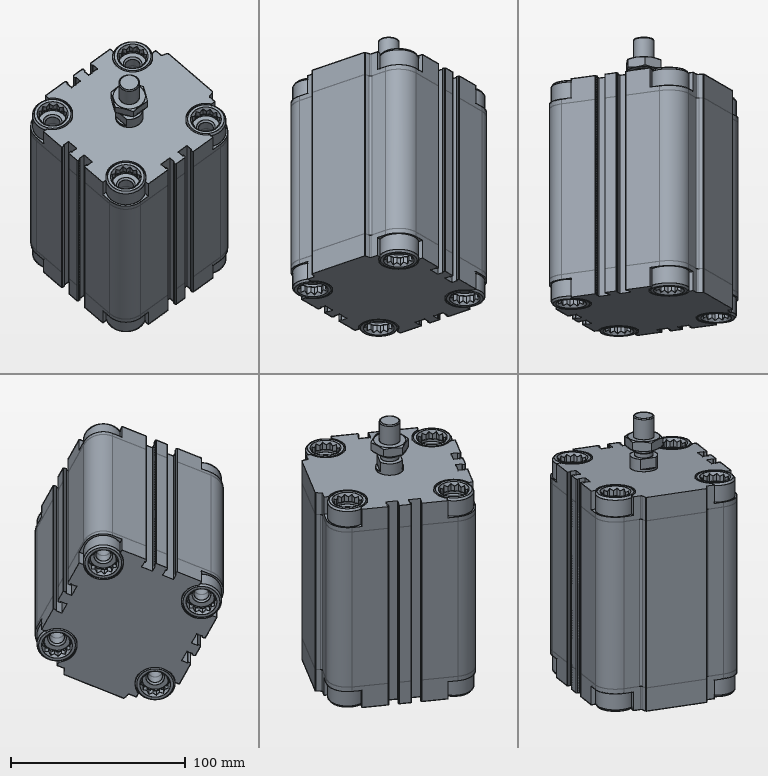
import cadquery as cq
import math

total_height = 161.5
housing_height = 130.0
cap_height = 14.2

width = 87.0
half_width = width / 2
bolt_offset = 31.0
corner_radius = half_width - bolt_offset

overall_depth = 91.0
pad_height = overall_depth - width
pad_half_base = 20.2
pad_half_top = 18.7
pad_corner = 0.5
cap_pad_root = 0.6
barrel_pad_root = 1.5

slot_offset = 6.6
slot_mouth = 5.5
slot_inner = 6.8
slot_depth = 5.7
lip_depth = 2.0
lip_bevel = 0.5

collar_diameter = 23.0
collar_chamfer_height = 1.3
collar_chamfer_width = 1.0
corner_cut = 18.4
corner_cut_depth = 11.3

bolt_hole = 8.5
countersink_diameter = 10.7
socket_corners = 16.5
socket_mouth = 17.6
socket_mouth_depth = 2.9
socket_mouth_floor = 13.9
socket_depth = 5.7
socket_floor = 7.5

rod_diameter = 16.0
rod_top = 137.5
flat_bottom = 131.3
across_flats = 13.0
undercut_diameter = 10.7
thread_diameter = 12.0
thread_start = 139.9
thread_chamfer = 0.6
rod_seat = housing_height - cap_height

nut_bottom = 142.8
nut_height = 6.0
nut_across_flats = 19.0
nut_corners = nut_across_flats / math.cos(math.radians(30))
nut_chamfer_height = 0.6
nut_face_diameter = 18.4


def profile(height, pad_root):
    """Length of the rounded square section with the raised pad on its +Y side."""
    body = cq.Workplane("XY").rect(width, width).extrude(height).edges("|Z").fillet(corner_radius)
    pad_top = half_width + pad_height
    pad = (
        cq.Workplane("XY")
        .polyline([
            (-pad_half_base, 0),
            (-pad_half_base, half_width),
            (-pad_half_top - pad_corner, pad_top - pad_corner),
            (-pad_half_top, pad_top),
            (pad_half_top, pad_top),
            (pad_half_top + pad_corner, pad_top - pad_corner),
            (pad_half_base, half_width),
            (pad_half_base, 0),
        ])
        .close()
        .extrude(height)
    )
    section = body.union(pad)
    for x in (-pad_half_base, pad_half_base):
        foot_edge = cq.selectors.NearestToPointSelector((x, half_width, height / 2))
        section = section.edges(foot_edge).fillet(pad_root)
    return section


def t_slot(height):
    """Cutter for one T-slot in the -Y side, centred on X = 0."""
    outer = -half_width
    half_mouth = slot_mouth / 2
    half_inner = slot_inner / 2
    right = [
        (half_mouth + lip_bevel, outer),
        (half_mouth, outer + lip_bevel),
        (half_mouth, outer + lip_depth),
        (half_inner, outer + lip_depth),
        (half_inner, outer + slot_depth),
    ]
    left = [(-x, y) for x, y in reversed(right)]
    return cq.Workplane("XY").polyline(right + left).close().extrude(height)


def cut_slots(housing):
    """Run a pair of T-slots along the -X, +X and -Y sides."""
    for side_angle in (0, 90, -90):
        for x in (-slot_offset, slot_offset):
            slot = t_slot(housing_height).translate((x, 0, 0))
            housing = housing.cut(slot.rotate((0, 0, 0), (0, 0, 1), side_angle), clean=False)
    return housing


def corner_relief(x_side, y_side):
    """Square cut from one top corner of a cap, leaving the bolt collar standing."""
    square_centre = half_width - corner_cut / 2
    floor = cap_height - corner_cut_depth
    square = (
        cq.Workplane("XY", origin=(x_side * square_centre, y_side * square_centre, floor))
        .rect(corner_cut, corner_cut)
        .extrude(corner_cut_depth)
    )
    bolt_axis = (x_side * bolt_offset, y_side * bolt_offset, floor)
    collar = cq.Workplane("XY", origin=bolt_axis).circle(collar_diameter / 2).extrude(corner_cut_depth)
    chamfered_collar = collar.faces(">Z").edges().chamfer(collar_chamfer_height, collar_chamfer_width)
    return square.union(collar).cut(chamfered_collar)


def hexagon_prism(corners, depth, angle):
    prism = cq.Workplane("XY").polygon(6, corners).extrude(-depth)
    return prism.rotate((0, 0, 0), (0, 0, 1), angle)


def bolt_passage():
    """Cutter for one bolt passage, with the socket opening at Z = 0."""
    socket = hexagon_prism(socket_corners, socket_depth, 0)
    socket = socket.union(hexagon_prism(socket_corners, socket_depth, 30))
    relief_height = socket_floor - socket_depth
    relief = cq.Workplane("XY").circle(socket_corners / 2).extrude(relief_height)
    relief = relief.translate((0, 0, -socket_floor))
    mouth = cq.Workplane(
        cq.Solid.makeCone(socket_mouth_floor / 2, socket_mouth / 2, socket_mouth_depth)
    ).translate((0, 0, -socket_mouth_depth))
    countersink_depth = (countersink_diameter - bolt_hole) / 2
    countersink = cq.Workplane(
        cq.Solid.makeCone(bolt_hole / 2, countersink_diameter / 2, countersink_depth)
    ).translate((0, 0, -socket_floor - countersink_depth))
    hole = cq.Workplane("XY").circle(bolt_hole / 2).extrude(-cap_height)
    return socket.union(relief).union(mouth).union(countersink).union(hole)


def end_cap():
    """Cap with its outer face at the top."""
    cap = profile(cap_height, cap_pad_root)
    for x_side in (-1, 1):
        for y_side in (-1, 1):
            cap = cap.cut(corner_relief(x_side, y_side))
            passage = bolt_passage().translate((x_side * bolt_offset, y_side * bolt_offset, cap_height))
            cap = cap.cut(passage)
    return cap


def make_housing():
    barrel_height = housing_height - 2 * cap_height
    barrel = profile(barrel_height, barrel_pad_root)
    bolt_places = [(x, y) for x in (-bolt_offset, bolt_offset) for y in (-bolt_offset, bolt_offset)]
    holes = cq.Workplane("XY").pushPoints(bolt_places).circle(bolt_hole / 2).extrude(barrel_height)
    barrel = barrel.cut(holes).translate((0, 0, cap_height))
    top_cap = end_cap()
    bottom_cap = top_cap.mirror("XY").translate((0, 0, cap_height))
    top_cap = top_cap.translate((0, 0, housing_height - cap_height))
    housing = barrel.union(bottom_cap, clean=False).union(top_cap, clean=False)
    housing = cut_slots(housing)
    bore = cq.Workplane("XY", origin=(0, 0, rod_seat)).circle(rod_diameter / 2).extrude(cap_height)
    return housing.cut(bore, clean=False)


def make_rod():
    rod_radius = rod_diameter / 2
    undercut_radius = undercut_diameter / 2
    thread_radius = thread_diameter / 2
    rod = (
        cq.Workplane("XZ")
        .polyline([
            (0, rod_seat),
            (rod_radius, rod_seat),
            (rod_radius, rod_top),
            (undercut_radius, rod_top),
            (undercut_radius, thread_start),
            (thread_radius, thread_start + thread_chamfer),
            (thread_radius, total_height - thread_chamfer),
            (thread_radius - thread_chamfer, total_height),
            (0, total_height),
        ])
        .close()
        .revolve(360, (0, 0), (0, 1))
    )
    flat_height = rod_top - flat_bottom
    band = cq.Workplane("XY", origin=(0, 0, flat_bottom)).rect(rod_diameter, rod_diameter)
    kept = cq.Workplane("XY", origin=(0, 0, flat_bottom)).rect(rod_diameter, across_flats)
    waste = band.extrude(flat_height).cut(kept.extrude(flat_height))
    return rod.cut(waste)


def make_nut():
    hexagon = cq.Workplane("XY").polygon(6, nut_corners).extrude(nut_height)
    hexagon = hexagon.rotate((0, 0, 0), (0, 0, 1), 30)
    tip_radius = nut_corners / 2
    face_radius = nut_face_diameter / 2
    envelope = (
        cq.Workplane("XZ")
        .polyline([
            (0, 0),
            (face_radius, 0),
            (tip_radius, nut_chamfer_height),
            (tip_radius, nut_height - nut_chamfer_height),
            (face_radius, nut_height),
            (0, nut_height),
        ])
        .close()
        .revolve(360, (0, 0), (0, 1))
    )
    thread_hole = cq.Workplane("XY").circle(thread_diameter / 2).extrude(nut_height)
    return hexagon.intersect(envelope).cut(thread_hole).translate((0, 0, nut_bottom))


housing = make_housing()
rod = make_rod()
nut = make_nut()
result = cq.Compound.makeCompound([housing.val(), rod.val(), nut.val()])